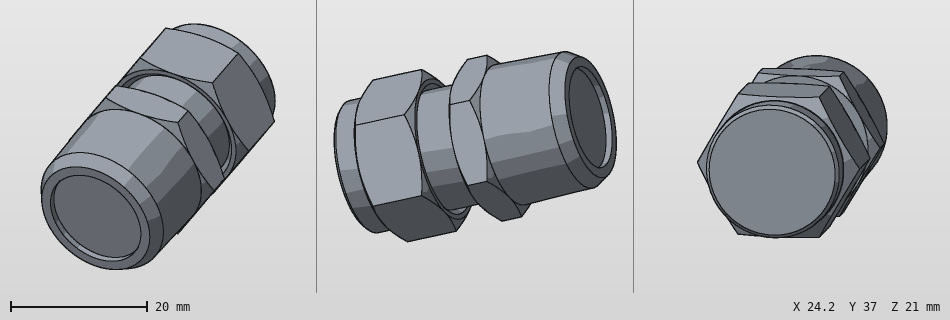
import cadquery as cq
import math

total_length = 37.0
across_flats = 20.98
flat_radius = across_flats / 2
corner_radius = flat_radius / math.cos(math.pi / 6)
bevel_slope = math.tan(math.radians(30))

thread_chamfer_end = 2.0
body_hex_start = 13.0
body_hex_end = 18.0
nut_start = 23.5
nut_end = 33.5

thread_face_radius = 9.03
thread_small_radius = 10.2
thread_large_radius = 10.5
neck_radius = 8.95
collar_radius = 9.9
collar_chamfer = 0.5
nut_rear_bevel_radius = 10.0
nut_mouth_radius = 9.75
nut_mouth_depth = 0.8

recess_radius = 7.55
recess_depth = 1.0


def revolve_about_y(points):
    """Solid of revolution from (radius, station) points, closed along the axis."""
    outline = [(0, points[0][1])] + points + [(0, points[-1][1])]
    return cq.Workplane("XY").polyline(outline).close().revolve(360, (0, 0), (0, 1))


def bevelled_hexagon(start, end, start_radius, end_radius):
    """Hexagonal prism with flats facing Z and 30 degree turned bevels at both ends."""
    prism = (
        cq.Workplane("XZ", origin=(0, start, 0))
        .polygon(6, 2 * corner_radius)
        .extrude(start - end)
    )
    start_drop = (corner_radius - start_radius) * bevel_slope
    end_drop = (corner_radius - end_radius) * bevel_slope
    envelope = revolve_about_y([
        (start_radius, start),
        (corner_radius, start + start_drop),
        (corner_radius, end - end_drop),
        (end_radius, end),
    ])
    return prism.intersect(envelope)


core = revolve_about_y([
    (thread_face_radius, 0),
    (thread_small_radius, thread_chamfer_end),
    (thread_large_radius, body_hex_start),
    (neck_radius, body_hex_start),
    (neck_radius, nut_end),
    (collar_radius, nut_end),
    (collar_radius, total_length - collar_chamfer),
    (collar_radius - collar_chamfer, total_length),
])

body_hex = bevelled_hexagon(body_hex_start, body_hex_end, flat_radius, flat_radius)
nut = bevelled_hexagon(nut_start, nut_end, flat_radius, nut_rear_bevel_radius)

nut_mouth = revolve_about_y([
    (nut_mouth_radius, nut_start),
    (neck_radius, nut_start + nut_mouth_depth),
])
nut = nut.cut(nut_mouth)

recess = revolve_about_y([(recess_radius, 0), (recess_radius, recess_depth)])

result = core.union(body_hex).union(nut).cut(recess).translate((0, -total_length / 2, 0))